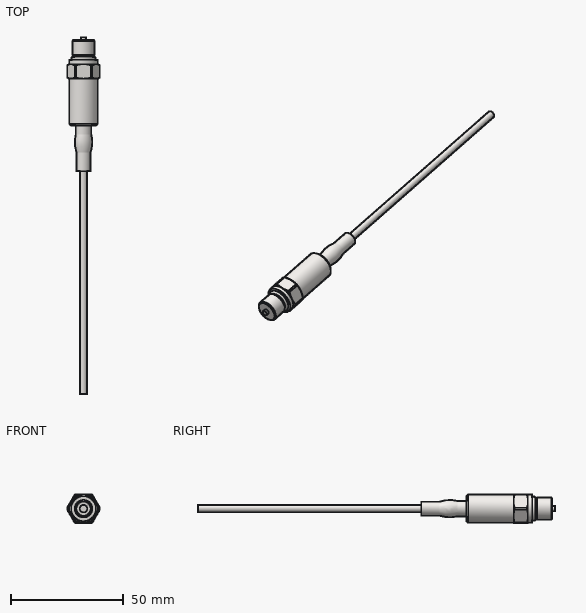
import cadquery as cq
import math

OVERALL_LENGTH = 158.2

NOSE_DIAMETER = 2.4
PLUG_START = 1.3
PLUG_DIAMETER = 10.0
PLUG_CHAMFER = 0.5

SEAL_SECTION = 1.4
SEAL_OUTER_DIAMETER = 10.9
GROOVE_START = 8.4
GROOVE_DIAMETER = SEAL_OUTER_DIAMETER - 2 * SEAL_SECTION

BARREL_START = 10.1
BARREL_END = 39.2
BARREL_DIAMETER = 12.7
BARREL_CHAMFER = 0.8

HEX_START = 12.0
HEX_END = 18.4
HEX_ACROSS_FLATS = 13.0
HEX_CORNER_DIAMETER = 14.5
HEX_CHAMFER_ANGLE = 30.0

NECK_END = 43.2
NECK_DIAMETER = 7.0
BULGE_PEAK = 45.5
BULGE_DIAMETER = 7.8
BULGE_END = 51.1
BOOT_DIAMETER = 6.3
BOOT_END = 59.3
CABLE_DIAMETER = 3.3


def cylinder(start, end, diameter):
    """Round length of the sensor between two stations."""
    return cq.Workplane("XZ", origin=(0, -start, 0)).circle(diameter / 2).extrude(end - start)


def make_plug():
    nose = cylinder(0, PLUG_START, NOSE_DIAMETER)
    plug = cylinder(PLUG_START, GROOVE_START, PLUG_DIAMETER).edges().chamfer(PLUG_CHAMFER)
    groove_core = cylinder(GROOVE_START, BARREL_START, GROOVE_DIAMETER)
    return nose.union(plug).union(groove_core)


def make_barrel():
    barrel = cylinder(BARREL_START, BARREL_END, BARREL_DIAMETER)
    return barrel.faces("<Y").edges().chamfer(BARREL_CHAMFER)


def make_hexagon():
    """Hexagon with flats facing +Z and -Z, its corners turned down and chamfered at both ends."""
    length = HEX_END - HEX_START
    across_corners = HEX_ACROSS_FLATS / math.cos(math.radians(30))
    prism = cq.Workplane("XZ", origin=(0, -HEX_START, 0)).polygon(6, across_corners).extrude(length)
    chamfer_depth = (HEX_CORNER_DIAMETER - HEX_ACROSS_FLATS) / 2
    chamfer_length = chamfer_depth * math.tan(math.radians(HEX_CHAMFER_ANGLE))
    corner_radius = HEX_CORNER_DIAMETER / 2
    flat_radius = HEX_ACROSS_FLATS / 2
    turned_blank = (
        cq.Workplane("XY")
        .moveTo(0, -HEX_START)
        .lineTo(flat_radius, -HEX_START)
        .lineTo(corner_radius, -HEX_START - chamfer_length)
        .lineTo(corner_radius, -HEX_END + chamfer_length)
        .lineTo(flat_radius, -HEX_END)
        .lineTo(0, -HEX_END)
        .close()
        .revolve(360, (0, 0, 0), (0, 1, 0))
    )
    return prism.intersect(turned_blank)


def make_bulge():
    """Rounded swelling that joins the neck to the thinner boot."""
    return (
        cq.Workplane("XY")
        .moveTo(0, -NECK_END)
        .lineTo(NECK_DIAMETER / 2, -NECK_END)
        .spline(
            [(BULGE_DIAMETER / 2, -BULGE_PEAK), (BOOT_DIAMETER / 2, -BULGE_END)],
            includeCurrent=True,
        )
        .lineTo(0, -BULGE_END)
        .close()
        .revolve(360, (0, 0, 0), (0, 1, 0))
    )


def make_cable_outlet():
    neck = cylinder(BARREL_END, NECK_END, NECK_DIAMETER)
    boot = cylinder(BULGE_END, BOOT_END, BOOT_DIAMETER)
    cable = cylinder(BOOT_END, OVERALL_LENGTH, CABLE_DIAMETER)
    return neck.union(make_bulge()).union(boot).union(cable)


def make_sensor():
    return make_plug().union(make_barrel()).union(make_hexagon()).union(make_cable_outlet())


def make_seal_ring():
    """Round-section ring seated in the groove against the barrel face."""
    ring_radius = (SEAL_OUTER_DIAMETER - SEAL_SECTION) / 2
    ring_station = BARREL_START - SEAL_SECTION / 2
    return (
        cq.Workplane("XY")
        .center(ring_radius, -ring_station)
        .circle(SEAL_SECTION / 2)
        .revolve(360, (-ring_radius, 0, 0), (-ring_radius, 1, 0))
    )


sensor = make_sensor()
seal_ring = make_seal_ring()

result = cq.Compound.makeCompound([sensor.val(), seal_ring.val()])